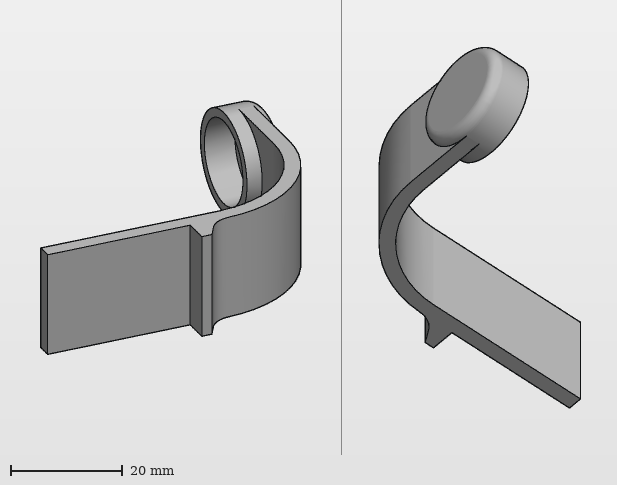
import cadquery as cq
import math

width = 20.0
thickness = 3.0
inner_radius = 20.0
outer_radius = inner_radius + thickness
overall_length = 60.0

cup_diameter = width
cup_height = 8.0
cup_edge_radius = 2.0
recess_diameter = 16.5
recess_depth = 6.0

lug_reach = 5.0
lug_tip_height = 2.0
lug_base_y = -32.0
lug_slope_angle = 30.0
lug_fillet_radius = 5.0

arm_outer_y = -cup_edge_radius
arm_inner_y = arm_outer_y - thickness
bend_x = 15.0
bend_y = arm_outer_y - outer_radius
strap_inner_x = bend_x + inner_radius
strap_outer_x = bend_x + outer_radius
lug_tip_x = strap_outer_x + lug_reach
lug_tip_y = lug_base_y + lug_tip_height
lug_root_y = lug_tip_y + lug_reach * math.tan(math.radians(lug_slope_angle))


def make_strap():
    diagonal = math.sqrt(0.5)
    outer_mid = (bend_x + outer_radius * diagonal, bend_y + outer_radius * diagonal)
    inner_mid = (bend_x + inner_radius * diagonal, bend_y + inner_radius * diagonal)
    return (
        cq.Workplane("XY")
        .moveTo(0, arm_outer_y)
        .lineTo(bend_x, arm_outer_y)
        .threePointArc(outer_mid, (strap_outer_x, bend_y))
        .lineTo(strap_outer_x, -overall_length)
        .lineTo(strap_inner_x, -overall_length)
        .lineTo(strap_inner_x, bend_y)
        .threePointArc(inner_mid, (bend_x, arm_inner_y))
        .lineTo(0, arm_inner_y)
        .close()
        .extrude(width / 2, both=True)
    )


def make_lug():
    """Lug with a flat underside and a top that slopes up towards the strap."""
    return (
        cq.Workplane("XY")
        .moveTo(strap_inner_x, lug_base_y)
        .lineTo(lug_tip_x, lug_base_y)
        .lineTo(lug_tip_x, lug_tip_y)
        .lineTo(strap_outer_x, lug_root_y)
        .lineTo(strap_inner_x, lug_root_y)
        .close()
        .extrude(width / 2, both=True)
    )


def make_strap_with_lug():
    """Strap and lug, with the corner above the lug rounded into the bend."""
    lug_corner = cq.NearestToPointSelector((strap_outer_x, lug_root_y, 0))
    return make_strap().union(make_lug()).edges("|Z").edges(lug_corner).fillet(lug_fillet_radius)


def make_cup():
    return (
        cq.Workplane("XZ")
        .circle(cup_diameter / 2)
        .extrude(cup_height)
        .faces(">Y")
        .edges()
        .fillet(cup_edge_radius)
    )


def make_recess():
    return (
        cq.Workplane("XZ", origin=(0, -cup_height, 0))
        .circle(recess_diameter / 2)
        .extrude(-recess_depth)
    )


result = make_strap_with_lug().union(make_cup()).cut(make_recess())